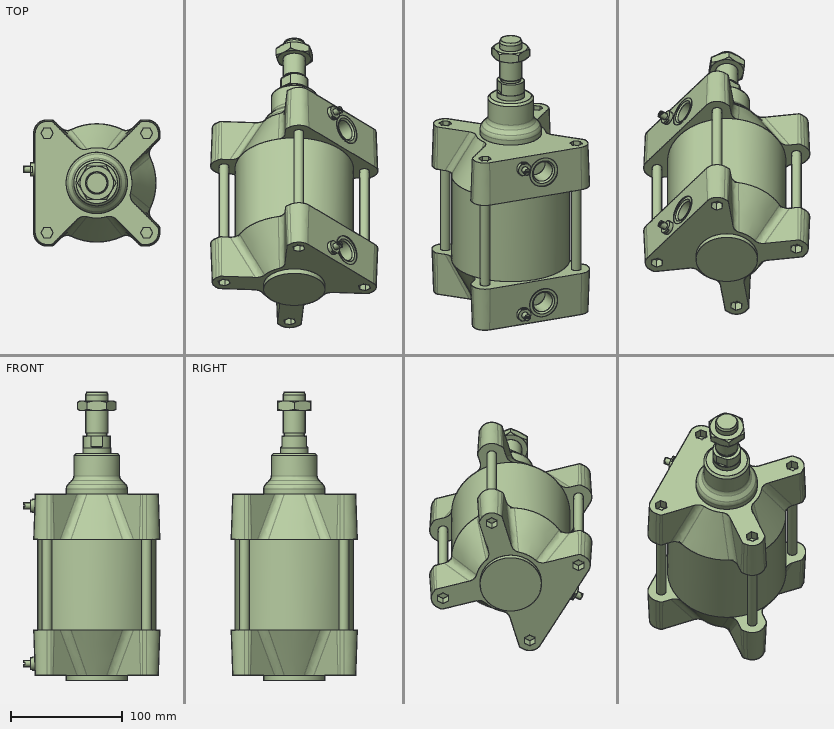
import cadquery as cq
import math


total_height = 258.0
rear_boss_height = 4.6
head_height = 40.5
barrel_length = 81.3
rear_head_top = rear_boss_height + head_height
front_head_bottom = rear_head_top + barrel_length
front_head_top = front_head_bottom + head_height
mid_barrel = rear_head_top + barrel_length / 2
collar_top = 203.3

head_half_width = 56.5
head_draft = 2.0
arm_half_width = 12.0
tie_rod_pitch = 89.0
tie_rod_diameter = 8.8
arm_tip_radius = head_half_width - tie_rod_pitch / 2
arm_shoulder_radius = 4.0
barrel_diameter = 106.0
cone_top_diameter = 63.0
web_fillet = 7.7
socket_across_flats = 9.5
socket_depth = 9.0

port_y = -8.0
port_height = 22.7
port_diameter = 18.5
port_depth = 18.0
port_chamfer = 1.5
spot_face_diameter = 27.0
spot_face_depth = 1.3

bleed_y = 12.0
bleed_height = 30.0
bleed_tip_x = -65.5
bleed_pin_diameter = 6.0
bleed_head_diameter = 12.0
bleed_head_x = -59.3
bleed_across_flats = 10.8
bleed_flat_length = 1.8
bleed_slot_width = 1.5
bleed_slot_depth = 1.3
bleed_embedding = 2.5
bleed_root_x = bleed_embedding - head_half_width

flange_diameter = 55.0
collar_diameter = 41.0
flange_height = 7.0
collar_chamfer = 2.0
collar_blend_radius = 5.7

rod_diameter = 25.0
rod_end_diameter = 24.5
rod_end_bottom = 208.2
rod_end_top = 218.8
rod_flat_bottom = 209.5
rod_across_flats = 22.2
groove_diameter = 18.0
groove_top = 221.4
thread_diameter = 20.0
thread_chamfer_height = 2.3
thread_chamfer_width = 1.0

nut_across_flats = 30.0
nut_bottom = 241.5
nut_height = 8.8
nut_chamfer_angle = 30.0


def cylinder(diameter, bottom, top):
    return cq.Workplane("XY").workplane(offset=bottom).circle(diameter / 2).extrude(top - bottom)


def cylinder_along_x(diameter, x_start, x_end, y, z):
    return cq.Workplane("YZ", origin=(x_start, y, z)).circle(diameter / 2).extrude(x_end - x_start)


def tie_rod_places(z):
    """The four tie rod axes, as points at height z."""
    plane = cq.Workplane("XY").workplane(offset=z)
    return plane.rect(tie_rod_pitch, tie_rod_pitch, forConstruction=True).vertices()


def hexagon(workplane, across_flats):
    """Hexagon with two corners on the X axis."""
    return workplane.polygon(6, across_flats / math.cos(math.radians(30)))


def fillet_upright_edges(body, places, radius):
    """Round the edges of a head whose midpoints lie close to the given (x, y) places."""
    reach = 2.5
    middle = head_height / 2
    boxes = [
        cq.selectors.BoxSelector(
            (x - reach, y - reach, middle - reach),
            (x + reach, y + reach, middle + reach),
        )
        for x, y in places
    ]
    selector = boxes[0]
    for box in boxes[1:]:
        selector = selector + box
    return body.edges(selector).fillet(radius)


def head_plate():
    """Four diagonal arms with the -X side filled, standing on Z = 0 and drafted upwards."""
    side = head_half_width
    notch = arm_half_width * math.sqrt(2)
    shoulder = side - notch
    outline = [
        (-side, -side), (-shoulder, -side), (0, -notch), (shoulder, -side), (side, -side),
        (side, -shoulder), (notch, 0), (side, shoulder),
        (side, side), (shoulder, side), (0, notch), (-shoulder, side), (-side, side),
    ]
    tips = [(x, y) for x in (-side, side) for y in (-side, side)]
    shoulders = [(x, y) for x in (-shoulder, shoulder) for y in (-side, side)]
    shoulders += [(side, -shoulder), (side, shoulder)]
    prism = cq.Workplane("XY").polyline(outline).close().extrude(head_height)
    prism = fillet_upright_edges(prism, tips, arm_tip_radius)
    prism = fillet_upright_edges(prism, shoulders, arm_shoulder_radius)
    base_outline = prism.faces("<Z").wires().val()
    return cq.Workplane("XY").add(base_outline).toPending().extrude(head_height, taper=head_draft)


def head_body():
    """Arms joined to the central cone, with a blend wherever an arm meets the cone."""
    cone = (
        cq.Workplane("XY").circle(barrel_diameter / 2)
        .workplane(offset=head_height).circle(cone_top_diameter / 2).loft()
    )
    mean_radius = (barrel_diameter + cone_top_diameter) / 4
    half_angle = math.asin(arm_half_width / mean_radius)
    near = mean_radius * math.cos(math.radians(45) + half_angle)
    far = mean_radius * math.sin(math.radians(45) + half_angle)
    meetings = [(x, y) for x in (-near, near) for y in (-far, far)]
    meetings += [(far, -near), (far, near)]
    return fillet_upright_edges(head_plate().union(cone), meetings, web_fillet)


def cut_port(head):
    """Blind port with a chamfered mouth and a shallow spot face."""
    face_x = -head_half_width
    mouth_x = face_x + spot_face_depth
    mouth_radius = port_diameter / 2 + port_chamfer
    spot_face = cylinder_along_x(spot_face_diameter, face_x, mouth_x, port_y, port_height)
    bore = cylinder_along_x(port_diameter, mouth_x, mouth_x + port_depth, port_y, port_height)
    mouth = (
        cq.Workplane("YZ", origin=(mouth_x, port_y, port_height)).circle(mouth_radius)
        .workplane(offset=port_chamfer).circle(port_diameter / 2).loft()
    )
    return head.cut(spot_face).cut(bore).cut(mouth)


def box_on_bleed_axis(x_start, length, width, height):
    """Block centred on the bleed screw's axis, running inwards from x_start."""
    centre = (x_start + length / 2, bleed_y, bleed_height)
    return cq.Workplane("XY", origin=centre).box(length, width, height)


def bleed_screw():
    """Round head with two wrench flats, and a slotted pin."""
    root = bleed_root_x
    head = cylinder_along_x(bleed_head_diameter, bleed_head_x, root, bleed_y, bleed_height)
    around_flats = box_on_bleed_axis(
        bleed_head_x, bleed_flat_length, bleed_head_diameter, bleed_head_diameter
    )
    between_flats = box_on_bleed_axis(
        bleed_head_x, bleed_flat_length, bleed_head_diameter, bleed_across_flats
    )
    pin = cylinder_along_x(bleed_pin_diameter, bleed_tip_x, root, bleed_y, bleed_height)
    slot = box_on_bleed_axis(bleed_tip_x, bleed_slot_depth, bleed_pin_diameter, bleed_slot_width)
    return head.cut(around_flats.cut(between_flats)).union(pin.cut(slot))


def cut_sockets(head):
    """Hexagon sockets in the outer face, in line with the four tie rods."""
    corners = tie_rod_places(head_height)
    sockets = hexagon(corners, socket_across_flats).extrude(-socket_depth)
    return head.cut(sockets)


def make_head():
    """Complete head with its barrel side on Z = 0."""
    return cut_sockets(cut_port(head_body())).union(bleed_screw())


def collar():
    """Flange tapering at 45 degrees to the neck that guides the rod."""
    flange_radius = flange_diameter / 2
    neck_radius = collar_diameter / 2
    slope_bottom = front_head_top + flange_height
    slope_top = slope_bottom + flange_radius - neck_radius
    body = (
        cq.Workplane("XZ")
        .moveTo(0, front_head_top)
        .lineTo(flange_radius, front_head_top)
        .lineTo(flange_radius, slope_bottom)
        .lineTo(neck_radius, slope_top)
        .lineTo(neck_radius, collar_top)
        .lineTo(0, collar_top)
        .close()
        .revolve(360, (0, 0, 0), (0, 1, 0))
    )
    margin = 0.3
    slope_ends = cq.selectors.BoxSelector(
        (-flange_radius, -flange_radius, slope_bottom - margin),
        (flange_radius, flange_radius, slope_top + margin),
    )
    body = body.faces(">Z").edges().chamfer(collar_chamfer)
    return body.edges("%CIRCLE").edges(slope_ends).fillet(collar_blend_radius)


def make_housing():
    """Barrel, heads, tie rods, rear boss and collar, bored for the rod."""
    front_head = make_head().translate((0, 0, front_head_bottom))
    rear_head = front_head.mirror("XY", (0, 0, mid_barrel))
    body = cylinder(barrel_diameter, rear_head_top, front_head_bottom)
    tie_rods = (
        tie_rod_places(rear_head_top)
        .circle(tie_rod_diameter / 2).extrude(barrel_length)
    )
    rear_boss = cylinder(flange_diameter, 0, rear_boss_height)
    rod_bore = cylinder(rod_diameter, front_head_bottom, collar_top)
    body = body.union(front_head).union(rear_head).union(tie_rods)
    return body.union(rear_boss).union(collar()).cut(rod_bore)


def wrench_flat():
    """Material taken off the +Y side of the rod end, with a 45 degree run-out at the bottom."""
    flat_y = rod_across_flats / 2
    outer_y = rod_diameter
    return (
        cq.Workplane("YZ")
        .moveTo(flat_y, rod_end_top)
        .lineTo(flat_y, rod_flat_bottom)
        .lineTo(outer_y, rod_flat_bottom - (outer_y - flat_y))
        .lineTo(outer_y, rod_end_top)
        .close()
        .extrude(rod_diameter, both=True)
    )


def make_rod():
    """Shaft, wrench end, relief groove and thread."""
    shaft = cylinder(rod_diameter, front_head_bottom, rod_end_bottom)
    rod_end = cylinder(rod_end_diameter, rod_end_bottom, rod_end_top)
    groove = cylinder(groove_diameter, rod_end_top, groove_top)
    thread = cylinder(thread_diameter, groove_top, total_height)
    thread = thread.faces(">Z").edges().chamfer(thread_chamfer_height, thread_chamfer_width)
    rod = shaft.union(rod_end).union(groove).union(thread)
    return rod.cut(wrench_flat()).cut(wrench_flat().mirror("XZ"))


def make_lock_nut():
    """Thin hexagon nut with both rims chamfered."""
    base = cq.Workplane("XY").workplane(offset=nut_bottom)
    blank = hexagon(base, nut_across_flats).extrude(nut_height)
    flat_radius = nut_across_flats / 2
    corner_radius = flat_radius / math.cos(math.radians(30))
    drop = (corner_radius - flat_radius) * math.tan(math.radians(nut_chamfer_angle))
    nut_top = nut_bottom + nut_height
    envelope = (
        cq.Workplane("XZ")
        .moveTo(0, nut_bottom)
        .lineTo(flat_radius, nut_bottom)
        .lineTo(corner_radius, nut_bottom + drop)
        .lineTo(corner_radius, nut_top - drop)
        .lineTo(flat_radius, nut_top)
        .lineTo(0, nut_top)
        .close()
        .revolve(360, (0, 0, 0), (0, 1, 0))
    )
    return blank.intersect(envelope).cut(cylinder(thread_diameter, nut_bottom, nut_top))


housing = make_housing()
piston_rod = make_rod()
lock_nut = make_lock_nut()

result = cq.Compound.makeCompound([
    housing.solids().val(),
    piston_rod.solids().val(),
    lock_nut.solids().val(),
])